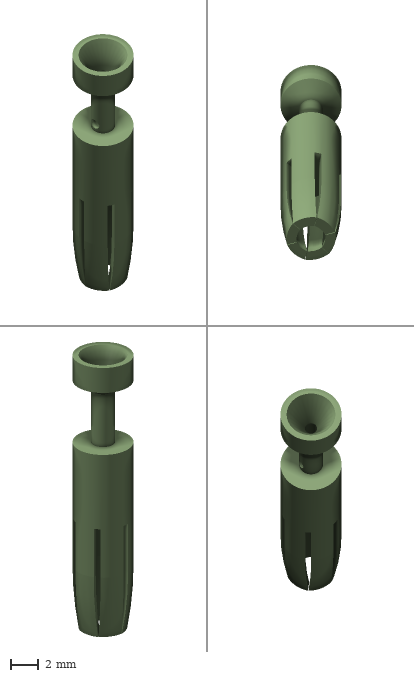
import cadquery as cq
import math

total_length = 22.2
body_diameter = 4.5
body_top = 15.1

head_height = 2.05
head_cone_height = 0.75
stem_diameter = 1.78
funnel_mouth_diameter = 3.6
funnel_depth = 2.0
passage_diameter = 0.89
outlet_diameter = 0.8
outlet_height = 0.7
drill_point_angle = 118.0

finger_count = 6
slot_width = 0.5
slot_depth = 9.01
bore_diameter = 3.06
bend_start = 5.06
bend_radius = 27.75
tip_overrun = 0.67

body_radius = body_diameter / 2
stem_radius = stem_diameter / 2
bore_radius = bore_diameter / 2
passage_radius = passage_diameter / 2
funnel_mouth_radius = funnel_mouth_diameter / 2
outlet_z = body_top + outlet_height
finger_pitch = 360.0 / finger_count


def make_shank():
    """Straight body, stem and head turned as one profile, down to the bend."""
    head_bottom = total_length - head_height
    stem_top = head_bottom - head_cone_height
    return (
        cq.Workplane("XZ")
        .moveTo(0, bend_start)
        .lineTo(body_radius, bend_start)
        .lineTo(body_radius, body_top)
        .lineTo(stem_radius, body_top)
        .lineTo(stem_radius, stem_top)
        .lineTo(body_radius, head_bottom)
        .lineTo(body_radius, total_length)
        .lineTo(0, total_length)
        .close()
        .revolve(360, (0, 0), (0, 1))
    )


def make_funnel_passage():
    """Funnel in the head, leading into a drilled passage with a conical end."""
    funnel_bottom = total_length - funnel_depth
    point_height = passage_radius / math.tan(math.radians(drill_point_angle / 2))
    point_shoulder = outlet_z - outlet_diameter / 2
    return (
        cq.Workplane("XZ")
        .moveTo(0, point_shoulder - point_height)
        .lineTo(passage_radius, point_shoulder)
        .lineTo(passage_radius, funnel_bottom)
        .lineTo(funnel_mouth_radius, total_length)
        .lineTo(0, total_length)
        .close()
        .revolve(360, (0, 0), (0, 1))
    )


def make_outlet():
    """Side hole from the passage axis out through the -Y side of the stem."""
    return (
        cq.Workplane("XZ", origin=(0, 0, outlet_z))
        .circle(outlet_diameter / 2)
        .extrude(body_radius)
    )


def make_slots(bottom, height):
    """Radial slots between the fingers, the first one facing -Y."""
    slots = cq.Workplane("XY")
    for index in range(finger_count):
        slot = (
            cq.Workplane("XY", origin=(0, 0, bottom))
            .center(body_radius, 0)
            .rect(body_diameter, slot_width)
            .extrude(height)
            .rotate((0, 0, 0), (0, 0, 1), index * finger_pitch - 90)
        )
        slots = slots.add(slot)
    return slots.combine()


def finger_corner(radius):
    """Corner of the finger section where a circle meets the slot wall."""
    half_slot = slot_width / 2
    angle = math.radians(finger_pitch / 2) - math.asin(half_slot / radius)
    return radius * math.cos(angle), radius * math.sin(angle)


def make_bent_finger():
    """Lower part of the finger on the +X side, bent towards the axis."""
    mean_radius = (body_radius + bore_radius) / 2
    full_angle = math.asin((bend_start + tip_overrun) / bend_radius)

    def bend_point(angle):
        inset = bend_radius * (1 - math.cos(angle))
        return mean_radius - inset, bend_start - bend_radius * math.sin(angle)

    path = (
        cq.Workplane("XZ")
        .moveTo(mean_radius, bend_start)
        .threePointArc(bend_point(full_angle / 2), bend_point(full_angle))
    )

    outer_x, outer_y = finger_corner(body_radius)
    inner_x, inner_y = finger_corner(bore_radius)
    finger = (
        cq.Workplane("XY", origin=(0, 0, bend_start))
        .moveTo(inner_x, -inner_y)
        .lineTo(outer_x, -outer_y)
        .threePointArc((body_radius, 0), (outer_x, outer_y))
        .lineTo(inner_x, inner_y)
        .threePointArc((bore_radius, 0), (inner_x, -inner_y))
        .close()
        .sweep(path)
    )
    envelope = cq.Workplane("XY").circle(body_diameter).extrude(bend_start)
    return finger.intersect(envelope)


straight_slot_height = slot_depth - bend_start
straight_bore = (
    cq.Workplane("XY", origin=(0, 0, bend_start))
    .circle(bore_radius)
    .extrude(straight_slot_height)
)
result = (
    make_shank()
    .cut(make_funnel_passage())
    .cut(make_outlet())
    .cut(straight_bore)
    .cut(make_slots(bend_start, straight_slot_height))
)
bent_finger = make_bent_finger()
for index in range(finger_count):
    result = result.union(bent_finger.rotate((0, 0, 0), (0, 0, 1), index * finger_pitch))